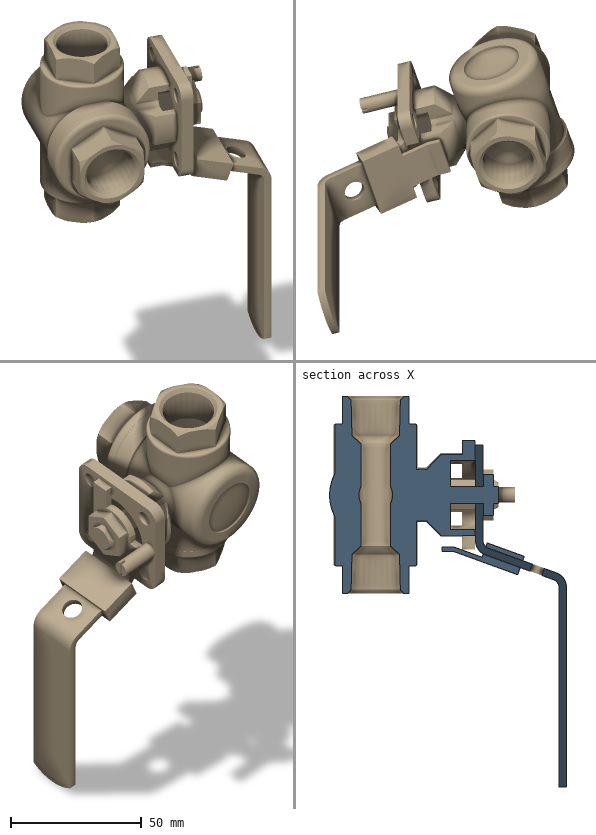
import cadquery as cq
import math


OVERALL_HEIGHT = 149.8

SHELL_D = 35.5
SHELL_END_X = -22.6
SHELL_END_FILLET = 3.1
END_RECESS_D = 22.0
END_RECESS_DEPTH = 0.9

CAP_D = 38.0
CAP_START_X = 15.3
CAP_RIM_D = 38.4
CAP_RIM_START_X = 22.3
CAP_RIM_END_X = 26.4
CAP_RIM_FILLET = 1.8
CAP_FACE_X = 37.2

PORT_D = 32.0
COLLAR_D = 32.2
COLLAR_START = 23.7
COLLAR_END = 27.3
COLLAR_FILLET = 0.9
PORT_FACE = 37.8

HEX_FLATS = 25.8
HEX_CHAMFER_D = 26.4
HEX_CHAMFER_DEPTH = 1.3
MOUTH_D = 22.3
MOUTH_DEPTH = 1.5
THREAD_D = 19.8
THREAD_END_D = 19.2
THREAD_DEPTH = 15.0
FLOW_D = 12.7

NECK_D = 21.0
BRACKET_FOOT_Y = 19.5
BRACKET_D = 32.0
BRACKET_LEG_WIDTH = 13.0
BRACKET_BORE_D = 27.0
NECK_TOP_Y = 28.6
STEM_D = 11.5
STEM_SQUARE = 9.3
NUT_FLATS = 17.0
NUT_HEIGHT = 4.2
STEM_TIP_D = 9.5
STEM_TIP_HEIGHT = 1.8

PLATE_SIZE = 42.0
PLATE_BOTTOM_Y = 33.1
PLATE_THICKNESS = 5.0
PLATE_TOP_Y = PLATE_BOTTOM_Y + PLATE_THICKNESS
PLATE_CORNER_R = 5.0
MOUNT_HOLE_D = 6.0
MOUNT_HOLE_SPACING = 29.4
LOCK_NOTCH_WIDTH = 17.4
LOCK_NOTCH_DEPTH = 5.4

PIN_X = -17.5
PIN_D = 6.0
PIN_SHANK_D = 4.2
PIN_END_Y = 53.3
PIN_SLOT_WIDTH = 1.0
PIN_SLOT_DEPTH = 2.2

HANDLE_WIDTH = 20.0
HANDLE_THICKNESS = 3.0
HANDLE_SLOPE = 20.0
HANDLE_BEND_R = 4.6
HANDLE_OUTER_Y = 73.1
HANDLE_END_Z = PORT_FACE - OVERALL_HEIGHT
HANDLE_END_R = 17.4
HANDLE_UPPER_BEND_Z = -20.5
HANDLE_HEAD_R = 10.5
STOP_ARM_LEFT_X = 3.1
STOP_ARM_TOP_Z = 19.2
STOP_TAB_X = -14.4
STOP_TAB_BOTTOM_Z = -10.2
HANG_HOLE_D = 8.0
HANG_HOLE_Y = 61.7

HANDLE_TOP_Y = PLATE_TOP_Y + HANDLE_THICKNESS
HANDLE_MID_Y = PLATE_TOP_Y + HANDLE_THICKNESS / 2
GRIP_MID_Y = HANDLE_OUTER_Y - HANDLE_THICKNESS / 2
SLOPE_DROP = math.tan(math.radians(HANDLE_SLOPE))

SLEEVE_WIDTH = 25.2
SLEEVE_LENGTH = 15.3
SLEEVE_HEIGHT = 7.6
SLEEVE_MID_Y = 48.7
SLEEVE_OFFSET = -0.6
TAB_WIDTH = 14.5
TAB_THICKNESS = 1.8
TAB_BEND_Y = 30.1
TAB_END_Y = 25.2


def slope_z(y):
    """Height of the middle of the handle's sloping part at a given Y."""
    return HANDLE_UPPER_BEND_Z - (y - HANDLE_MID_Y) * SLOPE_DROP


def cylinder_x(diameter, start, end):
    return cq.Workplane("YZ", origin=(start, 0, 0)).circle(diameter / 2).extrude(end - start)


def cylinder_y(diameter, start, end, x=0.0, z=0.0):
    return cq.Workplane("ZX", origin=(x, start, z)).circle(diameter / 2).extrude(end - start)


def cylinder_z(diameter, start, end):
    return cq.Workplane("XY", origin=(0, 0, start)).circle(diameter / 2).extrude(end - start)


def block(x_range, y_range, z_range):
    """Box between the given limits along each axis."""
    limits = (x_range, y_range, z_range)
    sizes = [high - low for low, high in limits]
    return cq.Workplane("XY").box(*sizes, centered=False).translate([low for low, _ in limits])


def across_corners(flats):
    """Corner-to-corner size of a hexagon with the given distance across flats."""
    return flats / math.cos(math.radians(30))


def hex_end(start, face):
    """Hexagon along +Z with corners on X, chamfered at its outer face."""
    corner_d = across_corners(HEX_FLATS)
    hexagon = cq.Workplane("XY", origin=(0, 0, start)).polygon(6, corner_d).extrude(face - start)
    envelope = (
        cq.Workplane("XZ")
        .polyline([
            (0, start),
            (corner_d / 2, start),
            (corner_d / 2, face - HEX_CHAMFER_DEPTH),
            (HEX_CHAMFER_D / 2, face),
            (0, face),
        ])
        .close()
        .revolve(360, (0, 0, 0), (0, 1, 0))
    )
    return hexagon.intersect(envelope)


def port_bore(face):
    """Countersunk, slightly tapered thread bore narrowing to the flow bore, which ends at the origin."""
    thread_end = face - THREAD_DEPTH
    cone_end = thread_end - (THREAD_END_D - FLOW_D) / 2
    return (
        cq.Workplane("XZ")
        .polyline([
            (0, face),
            (MOUTH_D / 2, face),
            (THREAD_D / 2, face - MOUTH_DEPTH),
            (THREAD_END_D / 2, thread_end),
            (FLOW_D / 2, cone_end),
            (FLOW_D / 2, 0),
            (0, 0),
        ])
        .close()
        .revolve(360, (0, 0, 0), (0, 1, 0))
    )


def turn_to_x(shape):
    """Turn a shape built along +Z so that it points along +X."""
    return shape.rotate((0, 0, 0), (0, 1, 0), 90)


def flip_z(shape):
    return shape.rotate((0, 0, 0), (1, 0, 0), 180)


def make_shell():
    """Main barrel along X with its closed end and the screwed cap."""
    barrel = cylinder_x(SHELL_D, SHELL_END_X, CAP_START_X).faces("<X").edges().fillet(SHELL_END_FILLET)
    recess = cylinder_x(END_RECESS_D, SHELL_END_X, SHELL_END_X + END_RECESS_DEPTH)
    cap = cylinder_x(CAP_D, CAP_START_X, CAP_RIM_START_X)
    rim = cylinder_x(CAP_RIM_D, CAP_RIM_START_X, CAP_RIM_END_X).faces(">X").edges().fillet(CAP_RIM_FILLET)
    cap_hex = turn_to_x(hex_end(CAP_RIM_END_X, CAP_FACE_X))
    return barrel.cut(recess).union(cap).union(rim).union(cap_hex)


def make_port():
    """Port pointing along +Z, from the valve centre to its hexagon."""
    tube = cylinder_z(PORT_D, 0, COLLAR_START)
    collar = cylinder_z(COLLAR_D, COLLAR_START, COLLAR_END).faces(">Z").edges().fillet(COLLAR_FILLET)
    return tube.union(collar).union(hex_end(COLLAR_END, PORT_FACE))


def make_bracket():
    """Neck and four legs, cut from one turned shape, that carry the mounting plate."""
    neck = cylinder_y(NECK_D, 0, NECK_TOP_Y)
    cone_height = (BRACKET_D - NECK_D) / 2
    turned = (
        cq.Workplane("XY")
        .polyline([
            (0, BRACKET_FOOT_Y),
            (NECK_D / 2, BRACKET_FOOT_Y),
            (BRACKET_D / 2, BRACKET_FOOT_Y + cone_height),
            (BRACKET_D / 2, PLATE_BOTTOM_Y),
            (BRACKET_BORE_D / 2, PLATE_BOTTOM_Y),
            (BRACKET_BORE_D / 2, NECK_TOP_Y),
            (0, NECK_TOP_Y),
        ])
        .close()
        .revolve(360, (0, 0, 0), (0, 1, 0))
    )
    half_width = BRACKET_LEG_WIDTH / 2
    narrow = (-half_width, half_width)
    wide = (-BRACKET_D / 2, BRACKET_D / 2)
    height = (BRACKET_FOOT_Y, PLATE_BOTTOM_Y)
    cross = block(wide, height, narrow).union(block(narrow, height, wide))
    return turned.intersect(cross).union(neck)


def make_plate():
    """Square mounting plate with four screw holes, the stem opening, the pin hole and the lock notch."""
    half = PLATE_SIZE / 2
    plate = block((-half, half), (PLATE_BOTTOM_Y, PLATE_TOP_Y), (-half, half))
    plate = plate.edges("|Y").fillet(PLATE_CORNER_R)
    screw_holes = (
        cq.Workplane("ZX", origin=(0, PLATE_BOTTOM_Y, 0))
        .rect(MOUNT_HOLE_SPACING, MOUNT_HOLE_SPACING, forConstruction=True)
        .vertices()
        .circle(MOUNT_HOLE_D / 2)
        .extrude(PLATE_THICKNESS)
    )
    stem_opening = cylinder_y(BRACKET_BORE_D, PLATE_BOTTOM_Y, PLATE_TOP_Y)
    pin_hole = cylinder_y(PIN_SHANK_D, PLATE_BOTTOM_Y, PLATE_TOP_Y, x=PIN_X)
    lock_notch = block(
        (-LOCK_NOTCH_WIDTH / 2, LOCK_NOTCH_WIDTH / 2),
        (PLATE_BOTTOM_Y, PLATE_TOP_Y),
        (-half, LOCK_NOTCH_DEPTH - half),
    )
    return plate.cut(screw_holes).cut(stem_opening).cut(pin_hole).cut(lock_notch)


def stem_square(start, end):
    """Square shank with its corners on X and Z, rounded off to the stem diameter."""
    square = cq.Workplane("ZX", origin=(0, start, 0)).rect(STEM_SQUARE, STEM_SQUARE).extrude(end - start)
    return square.rotate((0, 0, 0), (0, 1, 0), 45).intersect(cylinder_y(STEM_D, start, end))


def make_stem():
    """Square stem, chamfered at its tip, with the nut that holds the handle."""
    nut_top = HANDLE_TOP_Y + NUT_HEIGHT
    tip = nut_top + STEM_TIP_HEIGHT
    tip_cone = (
        cq.Workplane("ZX", origin=(0, nut_top, 0))
        .circle(STEM_D / 2)
        .workplane(offset=STEM_TIP_HEIGHT)
        .circle(STEM_TIP_D / 2)
        .loft()
    )
    shank = stem_square(NECK_TOP_Y, nut_top).union(stem_square(nut_top, tip).intersect(tip_cone))
    nut = (
        cq.Workplane("ZX", origin=(0, HANDLE_TOP_Y, 0))
        .polygon(6, across_corners(NUT_FLATS))
        .extrude(NUT_HEIGHT)
    )
    return shank.union(nut)


def make_housing():
    port = make_port()
    housing = make_shell().union(port).union(flip_z(port))
    housing = housing.union(make_bracket()).union(make_plate()).union(make_stem())
    bore = port_bore(PORT_FACE)
    return housing.cut(bore).cut(flip_z(bore)).cut(turn_to_x(port_bore(CAP_FACE_X)))


def make_stop_pin():
    """Slotted pin standing on the plate, with a thinner shank through it."""
    shank = cylinder_y(PIN_SHANK_D, PLATE_BOTTOM_Y, PLATE_TOP_Y, x=PIN_X)
    head = cylinder_y(PIN_D, PLATE_TOP_Y, PIN_END_Y, x=PIN_X)
    slot = block(
        (PIN_X - PIN_SLOT_WIDTH / 2, PIN_X + PIN_SLOT_WIDTH / 2),
        (PIN_END_Y - PIN_SLOT_DEPTH, PIN_END_Y),
        (-PIN_D / 2, PIN_D / 2),
    )
    return shank.union(head).cut(slot)


def make_strip():
    """Flat bar bent twice: down the plate, out along the slope and down to the grip end."""
    turn = math.radians(90 - HANDLE_SLOPE)
    tangent = HANDLE_BEND_R * math.tan(turn / 2)
    along_y = tangent * math.cos(math.radians(HANDLE_SLOPE))
    along_z = tangent * math.sin(math.radians(HANDLE_SLOPE))
    lower_bend_z = slope_z(GRIP_MID_Y)
    path = (
        cq.Workplane("YZ")
        .moveTo(HANDLE_MID_Y, 0)
        .lineTo(HANDLE_MID_Y, HANDLE_UPPER_BEND_Z + tangent)
        .tangentArcPoint((HANDLE_MID_Y + along_y, HANDLE_UPPER_BEND_Z - along_z), relative=False)
        .lineTo(GRIP_MID_Y - along_y, lower_bend_z + along_z)
        .tangentArcPoint((GRIP_MID_Y, lower_bend_z - tangent), relative=False)
        .lineTo(GRIP_MID_Y, HANDLE_END_Z)
    )
    section = cq.Workplane("XY", origin=(0, HANDLE_MID_Y, 0)).rect(HANDLE_WIDTH, HANDLE_THICKNESS)
    return section.sweep(path)


def make_handle():
    half_width = HANDLE_WIDTH / 2
    thickness = (PLATE_TOP_Y, HANDLE_TOP_Y)

    head = cylinder_y(2 * HANDLE_HEAD_R, *thickness).intersect(
        block((-half_width, half_width), thickness, (0, HANDLE_HEAD_R))
    )
    arm = block((STOP_ARM_LEFT_X, half_width), thickness, (0, STOP_ARM_TOP_Z))
    tab = block((STOP_TAB_X, 0), thickness, (STOP_TAB_BOTTOM_Z, 0))
    handle = make_strip().union(head).union(arm).union(tab)

    end_centre_z = HANDLE_END_Z + HANDLE_END_R
    end_corner_z = end_centre_z - math.sqrt(HANDLE_END_R**2 - half_width**2)
    grip = (HANDLE_OUTER_Y - HANDLE_THICKNESS, HANDLE_OUTER_Y)
    end_square = block((-half_width, half_width), grip, (HANDLE_END_Z, end_corner_z))
    handle = handle.cut(end_square.cut(cylinder_y(2 * HANDLE_END_R, *grip, z=end_centre_z)))

    stem_hole = stem_square(*thickness)
    hang_hole = (
        cq.Workplane("XY")
        .circle(HANG_HOLE_D / 2)
        .extrude(HANDLE_THICKNESS, both=True)
        .rotate((0, 0, 0), (1, 0, 0), -HANDLE_SLOPE)
        .translate((0, HANG_HOLE_Y, slope_z(HANG_HOLE_Y)))
    )
    return handle.cut(stem_hole).cut(hang_hole)


def make_lock_sleeve(handle):
    """Sleeve around the sloping part of the handle, with a tab that reaches under the plate."""
    centre = (0, SLEEVE_MID_Y, slope_z(SLEEVE_MID_Y))
    sleeve = (
        cq.Workplane("XY")
        .box(SLEEVE_WIDTH, SLEEVE_LENGTH, SLEEVE_HEIGHT)
        .translate((0, 0, SLEEVE_OFFSET))
        .rotate((0, 0, 0), (1, 0, 0), -HANDLE_SLOPE)
        .translate(centre)
    )
    slope_cos = math.cos(math.radians(HANDLE_SLOPE))
    underside_drop = (SLEEVE_HEIGHT / 2 - SLEEVE_OFFSET) / slope_cos
    tab_rise = TAB_THICKNESS / slope_cos
    root_z = slope_z(SLEEVE_MID_Y) - underside_drop
    bend_z = slope_z(TAB_BEND_Y) - underside_drop
    tab = (
        cq.Workplane("YZ")
        .polyline([
            (SLEEVE_MID_Y, root_z),
            (TAB_BEND_Y, bend_z),
            (TAB_END_Y, bend_z),
            (TAB_END_Y, bend_z + tab_rise),
            (TAB_BEND_Y, bend_z + tab_rise),
            (SLEEVE_MID_Y, root_z + tab_rise),
        ])
        .close()
        .extrude(TAB_WIDTH / 2, both=True)
    )
    return sleeve.union(tab).cut(handle)


housing = make_housing()
stop_pin = make_stop_pin()
handle = make_handle()
lock_sleeve = make_lock_sleeve(handle)

result = cq.Compound.makeCompound([
    housing.solids().val(),
    stop_pin.solids().val(),
    handle.solids().val(),
    lock_sleeve.solids().val(),
])